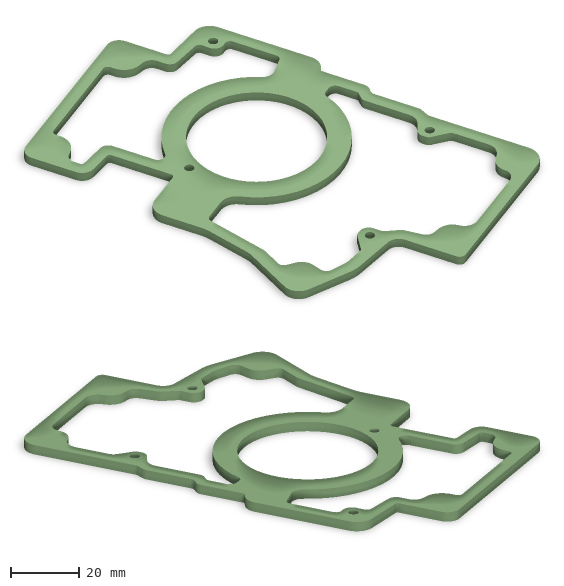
import cadquery as cq
import math


LENGTH = 138.01
THICKNESS = 3.0
BORE_DIAMETER = 41.5
RING_RADIUS = 28.0
SCREW_HOLE_DIAMETER = 3.0
SCREW_HOLES = [(-31.6, 34.0), (43.9, 25.9), (50.3, -25.6), (-11.2, -21.7)]

LEFT_EDGE = -58.6
RIGHT_EDGE = LEFT_EDGE + LENGTH
TOP_EDGE = 40.4
LEFT_FRAME_TOP = 22.3
LEFT_FRAME_BOTTOM = -38.5
RIGHT_FRAME_TOP = 31.8
RIGHT_FRAME_BOTTOM = -22.8
NECK_TOP = 36.0
SHOULDER_TOP = 33.5
STEP_BOTTOM = -26.8
FOOT_LEFT = -13.5
FOOT_BOTTOM = -44.9

WEB = 4.0
LEFT_WINDOW_LEFT = LEFT_EDGE + WEB
LEFT_WINDOW_BOTTOM = STEP_BOTTOM + WEB
LEFT_WINDOW_RIGHT = -8.6
LEFT_WINDOW_TOP = TOP_EDGE - WEB
LEFT_POCKET_TOP = LEFT_FRAME_TOP - WEB
LEFT_POCKET_BOTTOM = LEFT_FRAME_BOTTOM + WEB
RIGHT_WINDOW_RIGHT = RIGHT_EDGE - WEB
RIGHT_WINDOW_TOP = RIGHT_FRAME_TOP - WEB
RIGHT_POCKET_CORNER_Y = -8.9
RIGHT_WINDOW_LEFT = 8.6
SHOULDER_WINDOW_TOP = SHOULDER_TOP - WEB
NECK_WINDOW_TOP = NECK_TOP - WEB
FOOT_WINDOW_LEFT = 4.3

LEFT_LOBE_REACH = 12.8
RIGHT_LOBE_REACH = 12.5
LEFT_LOBE_RADIUS = 6.0

OUTER_OUTLINE = [
    (LEFT_EDGE, LEFT_FRAME_TOP, 4.0),
    (-40.1, LEFT_FRAME_TOP, 0.8),
    (-38.0, TOP_EDGE, 5.25),
    (0.6, TOP_EDGE, 5.25),
    (3.0, NECK_TOP, 0.0),
    (18.6, NECK_TOP, 3.0),
    (20.8, SHOULDER_TOP, 2.0),
    (37.0, SHOULDER_TOP, 3.0),
    (40.4, RIGHT_FRAME_TOP, 2.0),
    (RIGHT_EDGE, RIGHT_FRAME_TOP, 5.8),
    (RIGHT_EDGE, RIGHT_FRAME_BOTTOM, 2.0),
    (57.1, RIGHT_FRAME_BOTTOM, 4.0),
    (53.8, -41.6, 12.0),
    (43.1, -60.6, 5.1),
    (22.6, -49.1, 10.0),
    (6.0, FOOT_BOTTOM, 15.0),
    (FOOT_LEFT, FOOT_BOTTOM, 5.25),
    (FOOT_LEFT, STEP_BOTTOM, 1.2),
    (-35.2, STEP_BOTTOM, 1.0),
    (-36.4, LEFT_FRAME_BOTTOM, 4.0),
    (LEFT_EDGE, LEFT_FRAME_BOTTOM, 4.0),
]

LEFT_WINDOW = [
    (LEFT_WINDOW_LEFT, LEFT_FRAME_TOP - LEFT_LOBE_REACH, 1.5),
    (-46.9, LEFT_FRAME_TOP - LEFT_LOBE_REACH, LEFT_LOBE_RADIUS),
    (-44.8, LEFT_POCKET_TOP, 3.4),
    (-36.9, LEFT_POCKET_TOP, 2.8),
    (-35.0, 30.8, 1.5),
    (-28.0, 30.6, 3.0),
    (-28.0, LEFT_WINDOW_TOP, 1.7),
    (-10.6, LEFT_WINDOW_TOP, 1.5),
    (-7.2, 20.0, 0.0),
    (LEFT_WINDOW_RIGHT, LEFT_WINDOW_BOTTOM, 0.0),
    (-38.4, LEFT_WINDOW_BOTTOM, 2.8),
    (-39.8, LEFT_POCKET_BOTTOM, 1.0),
    (-45.0, LEFT_POCKET_BOTTOM, 2.8),
    (-46.9, LEFT_FRAME_BOTTOM + LEFT_LOBE_REACH, LEFT_LOBE_RADIUS),
    (LEFT_WINDOW_LEFT, LEFT_FRAME_BOTTOM + LEFT_LOBE_REACH, 1.5),
]

RIGHT_WINDOW = [
    (RIGHT_WINDOW_LEFT, NECK_WINDOW_TOP, 2.2),
    (17.2, NECK_WINDOW_TOP, 1.0),
    (19.8, SHOULDER_WINDOW_TOP, 2.0),
    (38.0, SHOULDER_WINDOW_TOP, 4.5),
    (41.6, 22.6, 2.5),
    (45.1, 22.6, 2.0),
    (50.1, RIGHT_WINDOW_TOP, 3.0),
    (65.6, RIGHT_WINDOW_TOP, 4.5),
    (68.3, RIGHT_FRAME_TOP - RIGHT_LOBE_REACH, 5.0),
    (RIGHT_WINDOW_RIGHT, RIGHT_FRAME_TOP - RIGHT_LOBE_REACH, 3.4),
    (RIGHT_WINDOW_RIGHT, RIGHT_POCKET_CORNER_Y, 4.2),
    (67.6, RIGHT_FRAME_BOTTOM + RIGHT_LOBE_REACH, 5.2),
    (66.1, -17.9, 3.0),
    (57.6, -19.0, 2.0),
    (52.9, -22.2, 1.0),
    (46.7, -22.2, 3.0),
    (46.7, -26.9, 1.5),
    (51.1, -32.8, 0.8),
    (50.0, -39.8, 8.0),
    (46.6, -47.0, 2.5),
    (38.7, -44.4, 4.8),
    (33.5, -50.2, 2.0),
    (26.0, -45.9, 5.0),
    (FOOT_WINDOW_LEFT, -40.4, 1.7),
    (FOOT_WINDOW_LEFT, 0.0, 0.0),
    (RIGHT_WINDOW_LEFT, 0.0, 0.0),
]


def unit_vector(start, end):
    length = math.dist(start, end)
    return ((end[0] - start[0]) / length, (end[1] - start[1]) / length)


def corner_arc(before, corner, after):
    """Start, middle and end of the arc that rounds a corner."""
    x, y, radius = corner
    back = unit_vector((x, y), before[:2])
    ahead = unit_vector((x, y), after[:2])
    half_angle = math.acos(back[0] * ahead[0] + back[1] * ahead[1]) / 2
    setback = radius / math.tan(half_angle)
    middle_setback = radius / math.sin(half_angle) - radius
    inward = unit_vector((0, 0), (back[0] + ahead[0], back[1] + ahead[1]))
    return (
        (x + setback * back[0], y + setback * back[1]),
        (x + middle_setback * inward[0], y + middle_setback * inward[1]),
        (x + setback * ahead[0], y + setback * ahead[1]),
    )


def rounded_plate(corners):
    """Plate on Z = 0 whose outline joins the corners with straight lines and tangent arcs."""
    outline = cq.Workplane("XY").moveTo(*corner_arc(corners[-1], corners[0], corners[1])[0])
    for index, corner in enumerate(corners):
        following = corners[(index + 1) % len(corners)]
        start, middle, end = corner_arc(corners[index - 1], corner, following)
        if index > 0:
            outline = outline.lineTo(*start)
        if corner[2] > 0:
            outline = outline.threePointArc(middle, end)
    return outline.close().extrude(THICKNESS)


def disc(radius):
    return cq.Workplane("XY").circle(radius).extrude(THICKNESS)


def screw_holes():
    centres = cq.Workplane("XY").pushPoints(SCREW_HOLES)
    return centres.circle(SCREW_HOLE_DIAMETER / 2).extrude(THICKNESS)


def window(corners, ring_fillets):
    """Window bounded by the bore ring, with the corners next to the ring rounded."""
    opening = rounded_plate(corners).cut(disc(RING_RADIUS))
    for x, y, radius in ring_fillets:
        nearest = cq.selectors.NearestToPointSelector((x, y, THICKNESS / 2))
        opening = opening.edges("|Z").edges(nearest).fillet(radius)
    return opening


def ring_height(x):
    return math.sqrt(RING_RADIUS**2 - x**2)


LEFT_RING_FILLETS = [
    (LEFT_WINDOW_RIGHT, ring_height(LEFT_WINDOW_RIGHT), 3.5),
    (-ring_height(LEFT_WINDOW_BOTTOM), LEFT_WINDOW_BOTTOM, 2.2),
]
RIGHT_RING_FILLETS = [
    (RIGHT_WINDOW_LEFT, ring_height(RIGHT_WINDOW_LEFT), 1.7),
    (FOOT_WINDOW_LEFT, -ring_height(FOOT_WINDOW_LEFT), 5.25),
]

result = (
    rounded_plate(OUTER_OUTLINE)
    .cut(window(LEFT_WINDOW, LEFT_RING_FILLETS))
    .cut(window(RIGHT_WINDOW, RIGHT_RING_FILLETS))
    .cut(disc(BORE_DIAMETER / 2))
    .cut(screw_holes())
)